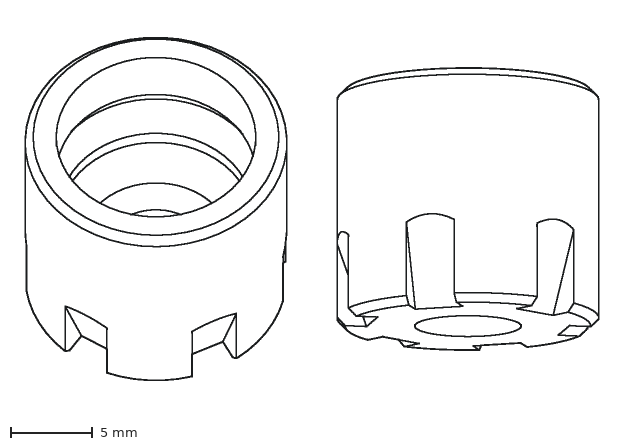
import cadquery as cq
import math

outer_radius = 16 / 2
height = 14.6
edge_chamfer = 0.5

bore_radius = 12.2 / 2
bore_depth = 3.76
groove_radius = 13.3 / 2
groove_wall_start = 4.95
groove_floor_depth = 7.44
land_radius = 11.8 / 2
land_length = 0.93
cone_half_angle = 30
pocket_radius = 9.1 / 2
pocket_wall = 1.0
floor_fillet = 0.4
hole_radius = 6.5 / 2

slot_count = 6
slot_width = 3.04
slot_height = 5.47
slot_floor_angle = 20

cone_start = groove_floor_depth + land_length
pocket_wall_start = cone_start + (
    (land_radius - pocket_radius) / math.tan(math.radians(cone_half_angle))
)
pocket_floor_depth = pocket_wall_start + pocket_wall


def concave_corner(profile, radius, depth):
    """Run down a wall and round the corner onto the floor at the given depth."""
    center_radius = radius - floor_fillet
    center_z = height - depth + floor_fillet
    diagonal = floor_fillet * math.sqrt(0.5)
    return profile.lineTo(radius, center_z).threePointArc(
        (center_radius + diagonal, center_z - diagonal),
        (center_radius, height - depth),
    )


def make_body():
    body = cq.Workplane("XY").circle(outer_radius).extrude(height)
    return body.faces("<Z or >Z").chamfer(edge_chamfer)


def make_cavity():
    profile = (
        cq.Workplane("XZ")
        .moveTo(0, height)
        .lineTo(bore_radius, height)
        .lineTo(bore_radius, height - bore_depth)
        .lineTo(groove_radius, height - groove_wall_start)
    )
    profile = concave_corner(profile, groove_radius, groove_floor_depth)
    profile = profile.lineTo(land_radius, height - groove_floor_depth)
    profile = profile.lineTo(land_radius, height - cone_start)
    profile = profile.lineTo(pocket_radius, height - pocket_wall_start)
    profile = concave_corner(profile, pocket_radius, pocket_floor_depth)
    profile = (
        profile.lineTo(hole_radius, height - pocket_floor_depth)
        .lineTo(hole_radius, 0)
        .lineTo(0, 0)
        .close()
    )
    return profile.revolve(360, (0, 0), (0, 1))


def make_slot():
    """Wedge on the +X side whose floor slopes inward toward the bottom face."""
    slot_depth = slot_height * math.tan(math.radians(slot_floor_angle))
    return (
        cq.Workplane("XZ")
        .moveTo(outer_radius, slot_height)
        .lineTo(outer_radius - slot_depth, 0)
        .lineTo(outer_radius, 0)
        .close()
        .extrude(slot_width / 2, both=True)
    )


result = make_body().cut(make_cavity())

slot = make_slot()
for index in range(slot_count):
    angle = -90 + index * 360 / slot_count
    result = result.cut(slot.rotate((0, 0, 0), (0, 0, 1), angle))